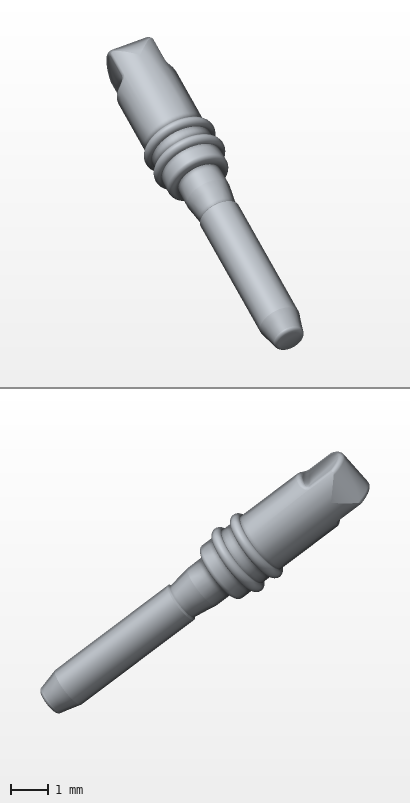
import cadquery as cq

TOTAL_LENGTH = 10.668

BARREL_RADIUS = 0.889
BARREL_LENGTH = 4.775
EDGE_ROUND = 0.126
RING_SECTION_RADIUS = 0.152
RING_SPACING = 0.64
FIRST_RING_X = 3.47
RING_COUNT = 2
BLADE_HALF_THICKNESS = 0.635
BLADE_LENGTH = 1.242

SHOULDER_RADIUS = 0.635
SHOULDER_END_X = 5.35
NECK_RADIUS = 0.533
NECK_END_X = 6.03
SHANK_RADIUS = 0.584
SHANK_CHAMFER = SHANK_RADIUS - NECK_RADIUS
NOSE_START_X = 9.99
NOSE_RADIUS = 0.437
NOSE_ROUND = 0.11

CLEARANCE = 0.5
SELECT_TOLERANCE = 0.01


def make_barrel():
    """Cylinder along X, rounded at the pin end, with a half-round tip of axis Y."""
    barrel = (
        cq.Workplane("YZ")
        .circle(BARREL_RADIUS)
        .extrude(BARREL_LENGTH)
        .faces(">X")
        .edges()
        .fillet(EDGE_ROUND)
    )
    side_outline = (
        cq.Workplane("XZ")
        .moveTo(BARREL_RADIUS, BARREL_RADIUS)
        .threePointArc((0, 0), (BARREL_RADIUS, -BARREL_RADIUS))
        .lineTo(BARREL_LENGTH, -BARREL_RADIUS)
        .lineTo(BARREL_LENGTH, BARREL_RADIUS)
        .close()
        .extrude(BARREL_RADIUS + CLEARANCE, both=True)
    )
    return barrel.intersect(side_outline)


def make_flat_cutter(side):
    """Block that removes one side of the tip; its inner corner is rounded."""
    outer_y = BARREL_RADIUS + CLEARANCE
    return (
        cq.Workplane("XY")
        .moveTo(-CLEARANCE, side * BLADE_HALF_THICKNESS)
        .lineTo(BLADE_LENGTH - EDGE_ROUND, side * BLADE_HALF_THICKNESS)
        .radiusArc((BLADE_LENGTH, side * (BLADE_HALF_THICKNESS + EDGE_ROUND)), -side * EDGE_ROUND)
        .lineTo(BLADE_LENGTH, side * outer_y)
        .lineTo(-CLEARANCE, side * outer_y)
        .close()
        .extrude(BARREL_RADIUS + CLEARANCE, both=True)
    )


def make_ring(center_x):
    """Torus centred on the barrel surface, so half of its section stands proud."""
    return (
        cq.Workplane("XY")
        .center(center_x, BARREL_RADIUS)
        .circle(RING_SECTION_RADIUS)
        .revolve(360, (0, -BARREL_RADIUS), (1, -BARREL_RADIUS))
    )


def blade_flat_selector(side):
    """Selects the flat face on one side of the blade."""
    flat_y = side * BLADE_HALF_THICKNESS
    return cq.selectors.BoxSelector(
        (0, flat_y - SELECT_TOLERANCE, -BARREL_RADIUS),
        (BLADE_LENGTH, flat_y + SELECT_TOLERANCE, BARREL_RADIUS),
    )


def make_plunger():
    """Barrel with a flat-sided blade tip and the rings, all one body.

    Rounding the borders of each flat carries on along the step behind it.
    """
    plunger = make_barrel()
    for side in (1, -1):
        plunger = plunger.cut(make_flat_cutter(side))
    for side in (1, -1):
        flat = plunger.faces(blade_flat_selector(side))
        plunger = flat.edges("not |Z").fillet(EDGE_ROUND)
    for index in range(RING_COUNT):
        plunger = plunger.union(make_ring(FIRST_RING_X + index * RING_SPACING))
    return plunger


def make_pin():
    """Turned pin whose shoulder seats against the end face of the plunger."""
    return (
        cq.Workplane("XY")
        .moveTo(BARREL_LENGTH, 0)
        .lineTo(BARREL_LENGTH, SHOULDER_RADIUS)
        .lineTo(SHOULDER_END_X, SHOULDER_RADIUS)
        .lineTo(NECK_END_X, NECK_RADIUS)
        .lineTo(NECK_END_X + SHANK_CHAMFER, SHANK_RADIUS)
        .lineTo(NOSE_START_X, SHANK_RADIUS)
        .lineTo(TOTAL_LENGTH - NOSE_ROUND, NOSE_RADIUS)
        .radiusArc((TOTAL_LENGTH, NOSE_RADIUS - NOSE_ROUND), NOSE_ROUND)
        .lineTo(TOTAL_LENGTH, 0)
        .close()
        .revolve(360, (0, 0), (1, 0))
    )


plunger = make_plunger()
pin = make_pin()
result = cq.Compound.makeCompound([plunger.val(), pin.val()])